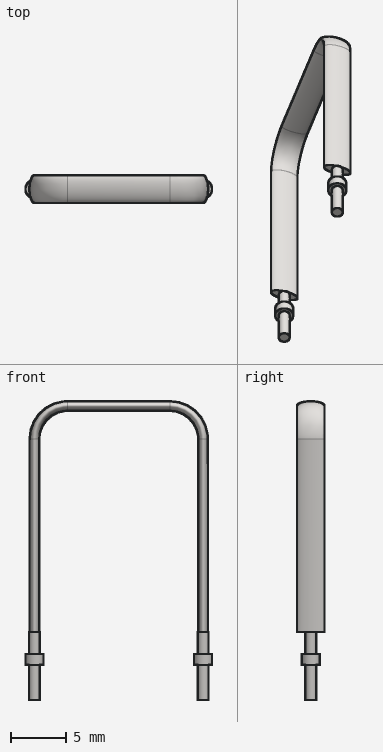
import cadquery as cq

height = 27.02
leg_spacing = 15.25

band_width = 2.5
band_thickness = 0.9
band_bottom = 6.13
bend_radius = 3.0

pin_diameter = 1.0
collar_diameter = 1.65
collar_bottom = 3.2
collar_height = 1.0

leg_x = leg_spacing / 2
path_top = height - band_thickness / 2
bend_start = path_top - bend_radius
straight_end_x = leg_x - bend_radius


def make_band():
    """Sweep the section up one leg, across the top and down the other leg."""
    path = (
        cq.Workplane("XZ")
        .moveTo(-leg_x, band_bottom)
        .lineTo(-leg_x, bend_start)
        .tangentArcPoint((-straight_end_x, path_top), relative=False)
        .lineTo(straight_end_x, path_top)
        .tangentArcPoint((leg_x, bend_start), relative=False)
        .lineTo(leg_x, band_bottom)
    )
    section = (
        cq.Workplane("XY")
        .workplane(offset=band_bottom)
        .center(-leg_x, 0)
        .ellipse(band_thickness / 2, band_width / 2)
    )
    return section.sweep(path)


def make_pin(x):
    """Pin standing on Z = 0 and meeting the bottom of the leg at x."""
    pin = cq.Workplane("XY").center(x, 0).circle(pin_diameter / 2).extrude(band_bottom)
    collar = (
        cq.Workplane("XY")
        .workplane(offset=collar_bottom)
        .center(x, 0)
        .circle(collar_diameter / 2)
        .extrude(collar_height)
    )
    return pin.union(collar)


result = make_band()
for pin_x in (-leg_x, leg_x):
    result = result.union(make_pin(pin_x))